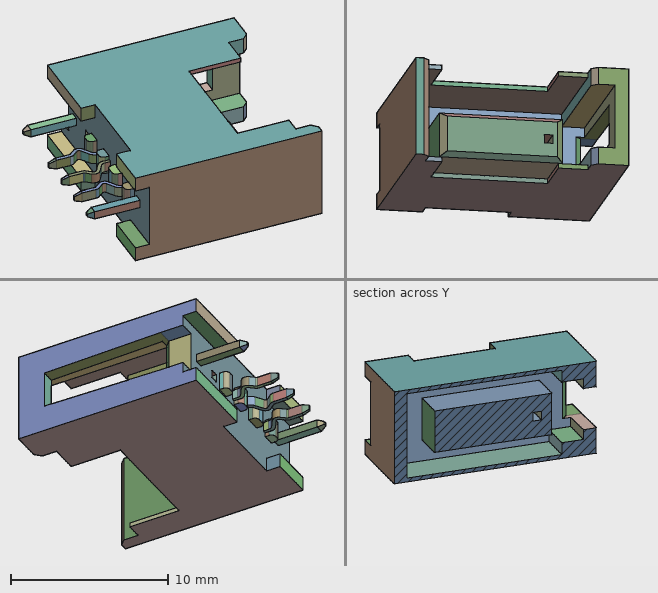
import cadquery as cq

LENGTH = 13.8
HEIGHT = 6.4
TOTAL_DEPTH = 15.6
MOUTH_Y = 12.02
HALF_HEIGHT = HEIGHT / 2

LIP_DEPTH = 0.98
LIP_HEIGHT = 1.0
LIP_GAP_START = 5.27
LIP_GAP_END = 10.83

SIDE_WALL = 0.9
PLATE_THICKNESS = 0.3
CAVITY_REAR_Y = 2.0
CHANNEL_END = 2.38
CHANNEL_HALF_HEIGHT = 2.08

STEP_DEPTH = 1.43
NOTCH_DEPTH = 5.03
NOTCH_START = 4.28
NOTCH_END = 11.84
TIP_CHAMFER = 0.4

WINDOW_FRONT_Y = 10.13
WINDOW_FRONT_HALF = 1.29
WINDOW_REAR_HALF = 1.46
SLOT_DEPTH = 1.08
SLOT_BEVEL_START = 1.63
SLOT_BEVEL = CAVITY_REAR_Y - SLOT_BEVEL_START

TONGUE_START = 3.05
TONGUE_END = 11.05
TONGUE_TIP_Y = 6.16
TONGUE_HALF_HEIGHT = 1.45
TONGUE_LEAD_IN = 0.43
TONGUE_LEAD_IN_Z = 0.3

PITCH = 2.0
LEFT_POST_X = 2.05
EMPTY_HOLE_X = LEFT_POST_X + PITCH
FIRST_CONTACT_X = EMPTY_HOLE_X + PITCH
CONTACT_COUNT = 3
RIGHT_POST_X = FIRST_CONTACT_X + CONTACT_COUNT * PITCH
TAIL_END_Y = MOUTH_Y - TOTAL_DEPTH
EMBED = 1.0

POST_WIDTH = 0.56
POST_TIP_LENGTH = 0.42
POST_TIP_WIDTH = 0.22

CONTACT_THICKNESS = 0.25
CONTACT_HEIGHT = 0.68
ROOT_OFFSET = 0.48
BULGE_OFFSET = -0.56
ROOT_BEND_Y = -0.66
BULGE_Y = -1.33
TAIL_BEND_Y = -2.0
BEND_RADIUS = 0.3
ROOT_BEND_RADIUS = 0.5
CONTACT_TIP_LENGTH = 0.5
CONTACT_TIP_THICKNESS = 0.15
CONTACT_TIP_HEIGHT = 0.34

PEG_SPANS = [(4.72, 5.6), (6.61, 7.49), (8.51, 9.55), (10.63, 11.44)]
PEG_LENGTH = 0.6
PEG_HEIGHT = 1.28
PEG_RADIUS = 0.31


def block(x_range, y_range, half_height):
    """Box spanning the given X and Y ranges, centred on the mid-plane."""
    size_x = x_range[1] - x_range[0]
    size_y = y_range[1] - y_range[0]
    box = cq.Workplane("XY").box(size_x, size_y, 2 * half_height, centered=(False, False, True))
    return box.translate((x_range[0], y_range[0], 0))


def plan_prism(points, half_height):
    """Prism with the given XY outline, centred on the mid-plane."""
    return cq.Workplane("XY").polyline(points).close().extrude(half_height, both=True)


def make_shell():
    """Outer block with the rear lips left at the corners."""
    shell = block((0, LENGTH), (-LIP_DEPTH, MOUTH_Y), HALF_HEIGHT)
    between_lips = block((0, LENGTH), (-LIP_DEPTH, 0), HALF_HEIGHT - LIP_HEIGHT)
    lip_gap = block((LIP_GAP_START, LIP_GAP_END), (-LIP_DEPTH, 0), HALF_HEIGHT)
    return shell.cut(between_lips).cut(lip_gap)


def make_cavity():
    """Main cavity with the narrow keying channel beside the left wall."""
    depth = (CAVITY_REAR_Y, MOUTH_Y)
    main = block((CHANNEL_END, LENGTH - SIDE_WALL), depth, HALF_HEIGHT - PLATE_THICKNESS)
    channel = block((SIDE_WALL, CHANNEL_END), depth, CHANNEL_HALF_HEIGHT)
    return main.union(channel)


def make_mouth_notch():
    """Stepped opening through both plates, flared at the mouth."""
    right = LENGTH - SIDE_WALL
    step_y = MOUTH_Y - STEP_DEPTH
    notch_y = MOUTH_Y - NOTCH_DEPTH
    flare_y = MOUTH_Y - TIP_CHAMFER
    return plan_prism(
        [
            (CHANNEL_END - TIP_CHAMFER, MOUTH_Y),
            (CHANNEL_END, flare_y),
            (CHANNEL_END, step_y),
            (NOTCH_START, step_y),
            (NOTCH_START, notch_y),
            (NOTCH_END, notch_y),
            (NOTCH_END, step_y),
            (right, step_y),
            (right, flare_y),
            (right + TIP_CHAMFER, MOUTH_Y),
        ],
        HALF_HEIGHT,
    )


def make_window():
    """Window tapering towards the mouth, with the bevelled slot through the rear wall."""
    taper = (
        cq.Workplane("YZ")
        .polyline(
            [
                (0, -WINDOW_REAR_HALF),
                (SLOT_BEVEL_START, -WINDOW_REAR_HALF),
                (WINDOW_FRONT_Y, -WINDOW_FRONT_HALF),
                (WINDOW_FRONT_Y, WINDOW_FRONT_HALF),
                (SLOT_BEVEL_START, WINDOW_REAR_HALF),
                (0, WINDOW_REAR_HALF),
            ]
        )
        .close()
        .extrude(LENGTH)
    )
    plan = plan_prism(
        [
            (0, 0),
            (SLOT_DEPTH, 0),
            (SLOT_DEPTH, SLOT_BEVEL_START),
            (SLOT_DEPTH + SLOT_BEVEL, CAVITY_REAR_Y),
            (SIDE_WALL, CAVITY_REAR_Y),
            (SIDE_WALL, WINDOW_FRONT_Y),
            (0, WINDOW_FRONT_Y),
        ],
        HALF_HEIGHT,
    )
    return plan.intersect(taper)


def make_tongue():
    """Tongue carrying the contacts, with lead-ins around its tip."""
    shoulder_y = TONGUE_TIP_Y - TONGUE_LEAD_IN
    tip_half = TONGUE_HALF_HEIGHT - TONGUE_LEAD_IN_Z
    plan = plan_prism(
        [
            (TONGUE_START, CAVITY_REAR_Y),
            (TONGUE_START, shoulder_y),
            (TONGUE_START + TONGUE_LEAD_IN, TONGUE_TIP_Y),
            (TONGUE_END - TONGUE_LEAD_IN, TONGUE_TIP_Y),
            (TONGUE_END, shoulder_y),
            (TONGUE_END, CAVITY_REAR_Y),
        ],
        TONGUE_HALF_HEIGHT,
    )
    side = (
        cq.Workplane("YZ")
        .polyline(
            [
                (CAVITY_REAR_Y, -TONGUE_HALF_HEIGHT),
                (shoulder_y, -TONGUE_HALF_HEIGHT),
                (TONGUE_TIP_Y, -tip_half),
                (TONGUE_TIP_Y, tip_half),
                (shoulder_y, TONGUE_HALF_HEIGHT),
                (CAVITY_REAR_Y, TONGUE_HALF_HEIGHT),
            ]
        )
        .close()
        .extrude(LENGTH)
    )
    return plan.intersect(side)


def make_peg(left, right):
    """Stand-off peg with its two rear edges rounded."""
    peg = block((left, right), (-PEG_LENGTH, 0), PEG_HEIGHT / 2)
    return peg.edges("|Z and <Y").fillet(PEG_RADIUS)


def make_tip(x, width, height, tip_width, tip_height, length):
    """Pyramidal tail tip narrowing to the end of the terminals."""
    base = cq.Workplane("XZ", origin=(x, TAIL_END_Y + length, 0)).rect(width, height)
    return base.workplane(offset=length).rect(tip_width, tip_height).loft(ruled=True)


def make_post(x):
    """Straight square post."""
    half = POST_WIDTH / 2
    shaft = block((x - half, x + half), (TAIL_END_Y + POST_TIP_LENGTH, EMBED), half)
    tip = make_tip(x, POST_WIDTH, POST_WIDTH, POST_TIP_WIDTH, POST_TIP_WIDTH, POST_TIP_LENGTH)
    return shaft.union(tip)


def make_contact(x, side):
    """Flat contact with a retaining bend; side is +1 or -1 for the direction of its root."""
    root_x = x + side * ROOT_OFFSET
    bulge_x = x + side * BULGE_OFFSET
    center_line = (
        cq.Workplane("XY")
        .polyline(
            [
                (root_x, EMBED),
                (root_x, ROOT_BEND_Y),
                (bulge_x, BULGE_Y),
                (x, TAIL_BEND_Y),
                (x, TAIL_END_Y + CONTACT_TIP_LENGTH),
            ]
        )
        .wire()
    )
    path = center_line.val()
    root_bend = path.Vertices()[1]
    rounded = path.fillet(ROOT_BEND_RADIUS, [root_bend])
    bulge_and_tail_bend = rounded.Vertices()[3:-1]
    rounded = rounded.fillet(BEND_RADIUS, bulge_and_tail_bend)
    strip = (
        cq.Workplane("XZ", origin=(root_x, EMBED, 0))
        .rect(CONTACT_THICKNESS, CONTACT_HEIGHT)
        .sweep(cq.Workplane(obj=rounded))
    )
    tip = make_tip(
        x,
        CONTACT_THICKNESS,
        CONTACT_HEIGHT,
        CONTACT_TIP_THICKNESS,
        CONTACT_TIP_HEIGHT,
        CONTACT_TIP_LENGTH,
    )
    return strip.union(tip)


def make_empty_hole():
    """Square hole at the unfilled position, through the rear wall and the tongue."""
    half = POST_WIDTH / 2
    return block((EMPTY_HOLE_X - half, EMPTY_HOLE_X + half), (0, TONGUE_TIP_Y), half)


housing = make_shell().cut(make_cavity()).cut(make_mouth_notch()).cut(make_window())
housing = housing.union(make_tongue()).cut(make_empty_hole())
for peg_left, peg_right in PEG_SPANS:
    housing = housing.union(make_peg(peg_left, peg_right))

for post_x in (LEFT_POST_X, RIGHT_POST_X):
    housing = housing.union(make_post(post_x))

for index in range(CONTACT_COUNT):
    root_side = 1 if index % 2 == 0 else -1
    housing = housing.union(make_contact(FIRST_CONTACT_X + index * PITCH, root_side))

result = housing